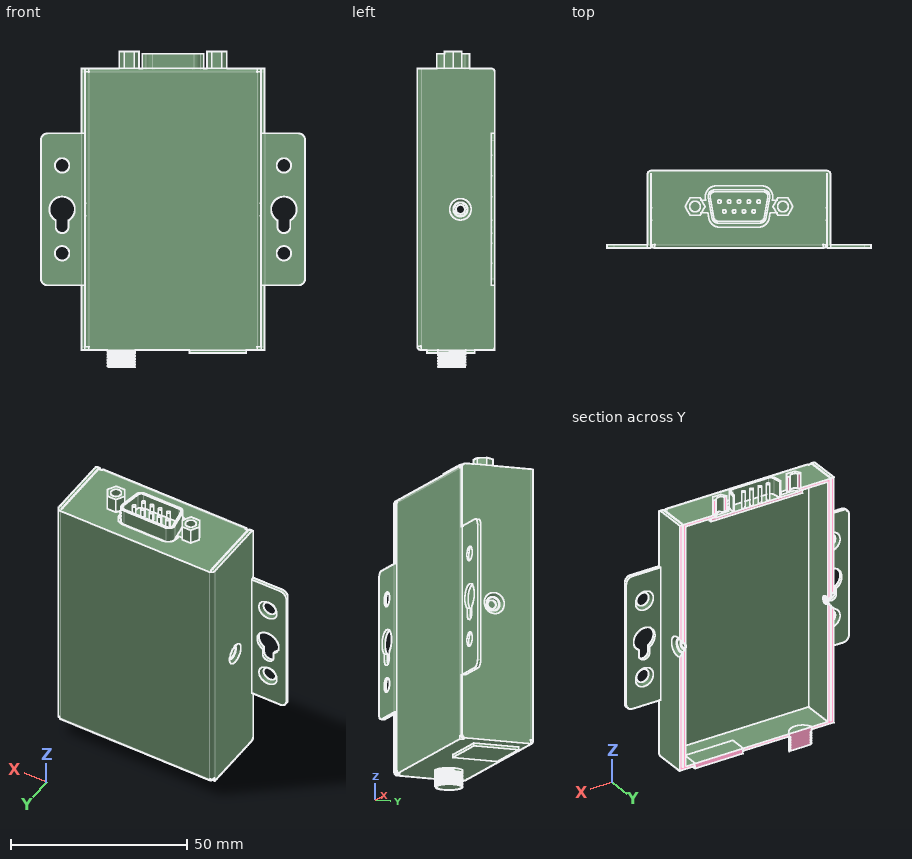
import cadquery as cq
import math

width = 52.0
depth = 22.0
height = 79.9
wall = 1.0
bend_radius = 1.0
back_bend_radius = 1.2
seam_gap = 0.2

ear_span = 75.0
ear_height = 43.2
ear_corner_radius = 2.0
ear_hole_x = 31.4
ear_hole_z = 12.45
ear_hole_diameter = 4.0
keyhole_diameter = 7.2
keyhole_slot_width = 3.6
keyhole_slot_drop = 4.9

screw_hole_y = -1.25
screw_hole_diameter = 2.5
countersink_diameter = 6.1

dsub_y = 0.8
shell_top_z = 44.2
shell_half_width = 8.2
shell_depth = 9.4
shell_corner_radius = 1.8
shell_wall = 0.5
side_slope = 10.0
opening_half_width = 9.1
opening_depth = 11.7
opening_corner_radius = 3.1
opening_arm_width = 3.7
flange_width = 30.8
flange_depth = 12.45
flange_thickness = 1.0
pin_pitch = 2.8
pin_row_spacing = 2.8
pin_diameter = 1.0
top_row_pins = 5
bottom_row_pins = 4

overall_height = 89.6
jack_x = 12.45
jack_across_flats = 4.9
jack_bore_diameter = 3.05

socket_x = 12.7
socket_y = 1.4
socket_width = 16.1
socket_depth = 13.6
socket_protrusion = 0.8
threaded_x = -14.7
threaded_y = 1.2
thread_diameter = 7.9
thread_pitch = 0.8
thread_depth = 0.45

side_x = width / 2
front_y = -depth / 2
back_y = depth / 2
top_z = height / 2
bottom_z = -height / 2
side_inner_x = side_x - wall
tab_x = side_inner_x - seam_gap
front_bend_x = tab_x - bend_radius
wall_top_z = top_z - wall
wall_bottom_z = bottom_z + wall
overall_top_z = overall_height / 2
overall_bottom_z = -overall_height / 2


def block(x0, x1, y0, y1, z0, z1):
    """Axis-aligned box between two corners."""
    return cq.Workplane("XY").box(x1 - x0, y1 - y0, z1 - z0, centered=False).translate((x0, y0, z0))


def dsub_prism(half_width, size_y, corner_radius, z0, z1):
    """Rounded D outline, wider towards +Y, extruded from z0 to z1."""
    flare = size_y / 2 * math.tan(math.radians(side_slope))
    return (
        cq.Workplane("XY", origin=(0, dsub_y, z0))
        .polyline([
            (-half_width - flare, size_y / 2),
            (half_width + flare, size_y / 2),
            (half_width - flare, -size_y / 2),
            (-half_width + flare, -size_y / 2),
        ])
        .close()
        .extrude(z1 - z0)
        .edges("|Z")
        .fillet(corner_radius)
    )


def both_sides(body):
    """The body together with its mirror image across the YZ plane."""
    return body.union(body.mirror("YZ"))


def housing_shell():
    """Hollow box with its bent edges rounded."""
    rounded_sides = block(-side_x, side_x, front_y, back_y, bottom_z, top_z)
    rounded_sides = rounded_sides.edges("|Z and >Y").fillet(back_bend_radius)
    rounded_ends = block(-side_x, side_x, front_y, back_y, bottom_z, top_z)
    rounded_ends = rounded_ends.edges("|X and >Y and <Z").fillet(back_bend_radius)
    rounded_ends = rounded_ends.edges("|X and <Y and >Z").fillet(bend_radius)
    outer = rounded_sides.intersect(rounded_ends)
    tab_inner_x = tab_x - wall
    cavity = block(
        -tab_inner_x, tab_inner_x, front_y + wall, back_y - wall, wall_bottom_z, wall_top_z
    )
    return outer.cut(cavity)


def side_seam():
    """Slit beside the +X side wall, open at the front and the top, with the tab bend rounded."""
    slit = block(tab_x, side_inner_x, front_y, back_y - wall, wall_bottom_z, top_z)
    bend_corner = block(front_bend_x, tab_x, front_y, front_y + bend_radius, wall_bottom_z, top_z)
    bend = (
        cq.Workplane("XY", origin=(front_bend_x, front_y + bend_radius, wall_bottom_z))
        .circle(bend_radius)
        .extrude(wall_top_z - wall_bottom_z)
    )
    return slit.union(bend_corner.cut(bend))


def corner_reliefs():
    """Notches where two bends meet at the +X front and back corners."""
    front_bottom = block(
        front_bend_x, side_inner_x, front_y, front_y + wall, bottom_z, wall_bottom_z
    )
    back_bottom = block(
        side_inner_x, side_x, back_y - back_bend_radius, back_y, bottom_z, bottom_z + back_bend_radius
    )
    return front_bottom.union(back_bottom)


def side_wall_corner():
    """Material removed to round the lower front corner of the +X side wall."""
    corner = block(
        side_inner_x, side_x, front_y, front_y + bend_radius, bottom_z, bottom_z + bend_radius
    )
    rounding = (
        cq.Workplane("YZ", origin=(side_inner_x, front_y + bend_radius, bottom_z + bend_radius))
        .circle(bend_radius)
        .extrude(wall)
    )
    return corner.cut(rounding)


def ear_screw_hole(z):
    """Cone through the ear at 45 degrees, widening towards the back."""
    front_radius = ear_hole_diameter / 2
    return cq.Workplane(cq.Solid.makeCone(
        front_radius,
        front_radius + wall,
        wall,
        pnt=cq.Vector(ear_hole_x, front_y, z),
        dir=cq.Vector(0, 1, 0),
    ))


def mounting_ear():
    """+X ear with two countersunk holes and a keyhole, bent out of the side wall."""
    ear_x = ear_span / 2
    ear = block(
        side_inner_x, ear_x, front_y, front_y + wall, -ear_height / 2, ear_height / 2
    )
    ear = ear.edges("|Y and >X").fillet(ear_corner_radius)
    keyhole = cq.Workplane("XZ", origin=(ear_hole_x, 0, 0)).circle(keyhole_diameter / 2)
    keyhole = keyhole.extrude(depth, both=True)
    slot = (
        cq.Workplane("XZ", origin=(ear_hole_x, 0, -keyhole_slot_drop / 2))
        .slot2D(keyhole_slot_drop + keyhole_slot_width, keyhole_slot_width, 90)
        .extrude(depth, both=True)
    )
    ear = ear.cut(keyhole).cut(slot)
    for z in (-ear_hole_z, ear_hole_z):
        ear = ear.cut(ear_screw_hole(z))
    return ear


def ear_bend():
    """Material removed to round the front edge where the +X ear leaves the side wall."""
    corner = block(
        side_inner_x, side_inner_x + wall, front_y, front_y + wall, -ear_height / 2, ear_height / 2
    )
    bend = (
        cq.Workplane("XY", origin=(side_inner_x + wall, front_y + wall, -ear_height / 2))
        .circle(wall)
        .extrude(ear_height)
    )
    return corner.cut(bend)


def screw_hole():
    """Countersunk hole through the +X side wall and the tab behind it."""
    sink_depth = (countersink_diameter - screw_hole_diameter) / 2
    return (
        cq.Workplane("XY")
        .polyline([
            (0, side_x),
            (countersink_diameter / 2, side_x),
            (screw_hole_diameter / 2, side_x - sink_depth),
            (screw_hole_diameter / 2, front_bend_x - wall),
            (0, front_bend_x - wall),
        ])
        .close()
        .revolve(360, (0, 0, 0), (0, 1, 0))
        .rotate((0, 0, 0), (0, 0, 1), -90)
        .translate((0, screw_hole_y, 0))
    )


def dsub_opening():
    """D cut-out in the top wall with an arm reaching under each jack post."""
    opening = dsub_prism(
        opening_half_width, opening_depth, opening_corner_radius, wall_top_z, top_z
    )
    arms = (
        cq.Workplane("XY", origin=(0, dsub_y, wall_top_z))
        .slot2D(2 * jack_x + opening_arm_width, opening_arm_width)
        .extrude(wall)
    )
    return opening.union(arms)


def socket_block(z_inside, z_outside):
    """Rectangular prism of the socket between two heights."""
    return (
        cq.Workplane("XY", origin=(socket_x, socket_y, z_outside))
        .rect(socket_width, socket_depth)
        .extrude(z_inside - z_outside)
    )


def threaded_core(z_inside, z_outside):
    """Cylinder at the crest diameter of the thread between two heights."""
    return (
        cq.Workplane("XY", origin=(threaded_x, threaded_y, z_outside))
        .circle(thread_diameter / 2)
        .extrude(z_inside - z_outside)
    )


def bottom_openings():
    """Openings in the bottom wall that fit the socket and the threaded connector."""
    return socket_block(wall_bottom_z, bottom_z).union(threaded_core(wall_bottom_z, bottom_z))


def make_housing():
    body = housing_shell()
    body = body.cut(both_sides(side_seam()))
    body = body.cut(both_sides(corner_reliefs()))
    body = body.cut(both_sides(side_wall_corner()))
    body = body.union(both_sides(mounting_ear()))
    body = body.cut(both_sides(ear_bend()))
    body = body.cut(both_sides(screw_hole()))
    body = body.cut(dsub_opening())
    return body.cut(bottom_openings())


def make_dsub():
    """Flange behind the top wall, hollow D shell and two rows of pins."""
    flange = block(
        -flange_width / 2, flange_width / 2,
        dsub_y - flange_depth / 2, dsub_y + flange_depth / 2,
        wall_top_z - flange_thickness, wall_top_z,
    )
    shell = dsub_prism(
        shell_half_width, shell_depth, shell_corner_radius, wall_top_z, shell_top_z
    )
    hollow = dsub_prism(
        shell_half_width - shell_wall,
        shell_depth - 2 * shell_wall,
        shell_corner_radius - shell_wall,
        wall_top_z,
        shell_top_z,
    )
    body = flange.union(shell.cut(hollow))
    for count, row_side in ((top_row_pins, 1), (bottom_row_pins, -1)):
        for i in range(count):
            pin_x = (i - (count - 1) / 2) * pin_pitch
            pin = (
                cq.Workplane("XY", origin=(pin_x, dsub_y + row_side * pin_row_spacing / 2, wall_top_z))
                .circle(pin_diameter / 2)
                .extrude(shell_top_z - wall_top_z)
            )
            body = body.union(pin)
    return body


def make_jack(x):
    """Bored hexagonal post standing on the top wall."""
    across_corners = jack_across_flats / math.cos(math.radians(30))
    return (
        cq.Workplane("XY", origin=(x, dsub_y, top_z))
        .polygon(6, across_corners)
        .circle(jack_bore_diameter / 2)
        .extrude(overall_top_z - top_z)
    )


def make_socket():
    """Plain rectangular socket in the bottom wall."""
    return socket_block(wall_bottom_z, bottom_z - socket_protrusion)


def make_threaded_connector():
    """Round connector with a helical V thread below the bottom wall."""
    core = threaded_core(wall_bottom_z, overall_bottom_z)
    radius = thread_diameter / 2
    overrun = 0.1
    half_mouth = thread_pitch / 2
    thread_length = bottom_z - overall_bottom_z
    helix = cq.Wire.makeHelix(thread_pitch, thread_length, radius)
    cutter = (
        cq.Workplane("XZ")
        .polyline([
            (radius - thread_depth, 0),
            (radius + overrun, half_mouth),
            (radius + overrun, -half_mouth),
        ])
        .close()
        .sweep(cq.Workplane(obj=helix), isFrenet=True)
        .translate((threaded_x, threaded_y, overall_bottom_z - half_mouth))
    )
    return core.cut(cutter)


housing = make_housing()
dsub = make_dsub()
jacks = [make_jack(x) for x in (-jack_x, jack_x)]
socket = make_socket()
threaded_connector = make_threaded_connector()

result = cq.Compound.makeCompound([
    housing.val(),
    dsub.val(),
    *[jack.val() for jack in jacks],
    socket.val(),
    threaded_connector.val(),
])